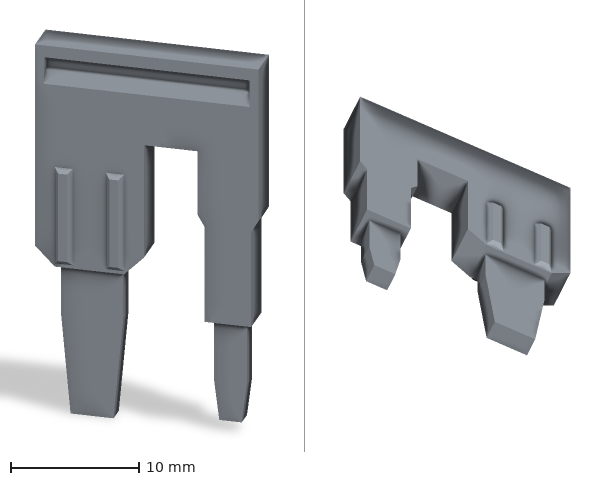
import cadquery as cq

height = 31.4
body_width = 18.12
overall_thickness = 3.75
body_thickness = 3.0

left_leg_width = 8.82
left_leg_bevel_width = 1.6
left_leg_bevel_depth = 17.1
left_leg_depth = 18.7

gap_depth = 7.55
right_leg_left = 13.15
right_leg_neck_left = 13.75
right_leg_neck_right = 17.52
right_leg_taper_depth = 12.9
right_leg_neck_depth = 13.9
right_leg_depth = 21.98

blade_thickness = 1.5
left_blade_width = 5.05
left_blade_tip_width = 3.5
left_blade_taper_depth = 22.85
right_blade_width = 2.67
right_blade_tip_width = 1.82
right_blade_taper_depth = 27.2
right_blade_depth = 30.52

groove_margin = 0.72
groove_top = 1.0
groove_shelf = 2.25
groove_bottom = 3.25
groove_depth = 1.0
groove_slope_run = 0.5

rib_width = 1.48
rib_top = 10.25
rib_bottom = 18.43
rib_inset = 0.38
rib_height = (overall_thickness - body_thickness) / 2
rib_lefts = (left_leg_bevel_width, left_leg_width - left_leg_bevel_width - rib_width)

left_center = left_leg_width / 2
right_center = (right_leg_neck_left + right_leg_neck_right) / 2


def plate(points, thickness):
    """Extrude an (x, depth below top) outline symmetrically about the mid plane."""
    outline = [(x, height - depth) for x, depth in points]
    return cq.Workplane("XZ").polyline(outline).close().extrude(thickness / 2, both=True)


def make_body():
    return plate(
        [
            (0, 0),
            (body_width, 0),
            (body_width, right_leg_taper_depth),
            (right_leg_neck_right, right_leg_neck_depth),
            (right_leg_neck_right, right_leg_depth),
            (right_leg_neck_left, right_leg_depth),
            (right_leg_neck_left, right_leg_neck_depth),
            (right_leg_left, right_leg_taper_depth),
            (right_leg_left, gap_depth),
            (left_leg_width, gap_depth),
            (left_leg_width, left_leg_bevel_depth),
            (left_leg_width - left_leg_bevel_width, left_leg_depth),
            (left_leg_bevel_width, left_leg_depth),
            (0, left_leg_bevel_depth),
        ],
        body_thickness,
    )


def make_blade(center, width, tip_width, root_depth, taper_depth, tip_depth):
    """A flat blade, rooted at the leg end and tapering towards its tip."""
    return plate(
        [
            (center - width / 2, root_depth),
            (center + width / 2, root_depth),
            (center + width / 2, taper_depth),
            (center + tip_width / 2, tip_depth),
            (center - tip_width / 2, tip_depth),
            (center - width / 2, taper_depth),
        ],
        blade_thickness,
    )


def make_groove():
    """Groove volume with a sloped lower lip, a level shelf and a flat back wall."""
    front = -body_thickness / 2
    profile = [
        (front, height - groove_top),
        (front + groove_depth, height - groove_top),
        (front + groove_depth, height - groove_shelf),
        (front + groove_slope_run, height - groove_shelf),
        (front, height - groove_bottom),
    ]
    return (
        cq.Workplane("YZ", origin=(groove_margin, 0, 0))
        .polyline(profile)
        .close()
        .extrude(body_width - 2 * groove_margin)
    )


def make_rib(left):
    """A rib on the front face, with all four sides sloping to a smaller crest."""
    rib_length = rib_bottom - rib_top
    rib_center = (left + rib_width / 2, -body_thickness / 2, height - (rib_top + rib_bottom) / 2)
    return (
        cq.Workplane("XZ", origin=rib_center)
        .rect(rib_width, rib_length)
        .workplane(offset=rib_height)
        .rect(rib_width - 2 * rib_inset, rib_length - 2 * rib_inset)
        .loft(ruled=True)
    )


result = make_body().cut(make_groove())
result = result.union(
    make_blade(
        left_center, left_blade_width, left_blade_tip_width,
        left_leg_depth, left_blade_taper_depth, height,
    )
)
result = result.union(
    make_blade(
        right_center, right_blade_width, right_blade_tip_width,
        right_leg_depth, right_blade_taper_depth, right_blade_depth,
    )
)
for rib_left in rib_lefts:
    rib = make_rib(rib_left)
    result = result.union(rib).union(rib.mirror("XZ"))